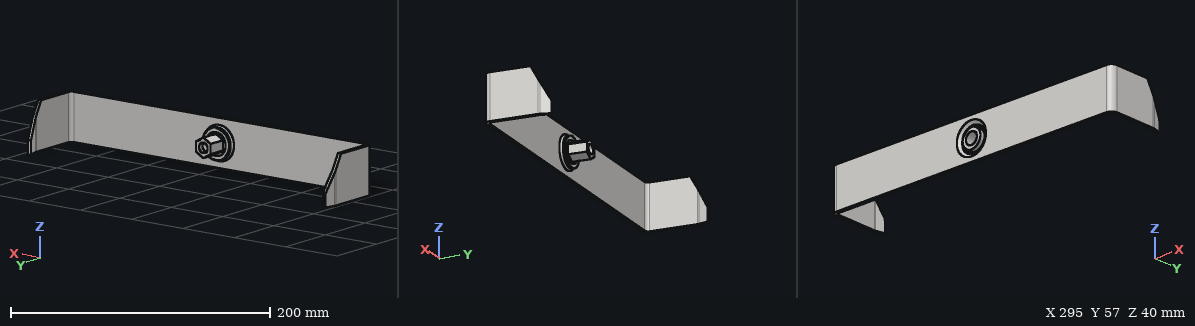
import cadquery as cq
import math

length = 295.0
height = 40.0
depth = 57.0
thickness = 3.0
bend_radius = 6.0
tip_angle = math.radians(15)
tip_bend_start = 46.5
tip_bend_radius = 7.5
corner_cut_start = 40.5
tip_height = 11.0

dimple_mouth_radius = 15.3
dimple_ledge_radius = 12.0
dimple_hole_radius = 11.5
dimple_depth = 2.7
collar_base_radius = 14.5
collar_rim_radius = 13.0
collar_back = 5.3

washer_back = 7.0
washer_front_radius = 11.8
washer_back_radius = 13.0
boss_radius = 9.5
hex_flat_width = 14.2
standoff_end = 23.0
bore_radius = 5.75
bore_depth = 17.7
outlet_radius = 4.0
drill_tip_half_angle = math.radians(59)


def revolve_about_y(points):
    """Revolve a closed (radius, y) outline about the Y axis."""
    return cq.Workplane("XY").polyline(points).close().revolve(360, (0, 0), (0, 1))


def make_bent_end():
    """Right half of the strip: half the web, the leg and its inward-leaning tip."""
    half = length / 2
    inner_radius = bend_radius - thickness
    bend_x = half - bend_radius
    diagonal = math.sqrt(0.5)
    tip_center_x = half - tip_bend_radius
    tip_inner_radius = tip_bend_radius - thickness
    sine = math.sin(tip_angle)
    cosine = math.cos(tip_angle)
    straight = (depth - tip_bend_start - tip_bend_radius * sine) / cosine

    def tip_point(radius, angle, along=0.0):
        x = tip_center_x + radius * math.cos(angle) - along * sine
        y = tip_bend_start + radius * math.sin(angle) + along * cosine
        return (x, y)

    half_angle = tip_angle / 2
    return (
        cq.Workplane("XY")
        .workplane(offset=-height / 2)
        .moveTo(0, 0)
        .lineTo(bend_x, 0)
        .threePointArc((bend_x + bend_radius * diagonal, bend_radius * (1 - diagonal)), (half, bend_radius))
        .lineTo(half, tip_bend_start)
        .threePointArc(tip_point(tip_bend_radius, half_angle), tip_point(tip_bend_radius, tip_angle))
        .lineTo(*tip_point(tip_bend_radius, tip_angle, straight))
        .lineTo(*tip_point(tip_inner_radius, tip_angle, straight))
        .lineTo(*tip_point(tip_inner_radius, tip_angle))
        .threePointArc(tip_point(tip_inner_radius, half_angle), tip_point(tip_inner_radius, 0))
        .lineTo(half - thickness, bend_radius)
        .threePointArc(
            (bend_x + inner_radius * diagonal, bend_radius - inner_radius * diagonal),
            (bend_x, thickness),
        )
        .lineTo(0, thickness)
        .close()
        .extrude(height)
    )


def make_corner_cut():
    """Wedge that slopes the upper free corner of both legs."""
    top = height / 2
    return (
        cq.Workplane("YZ")
        .polyline([(corner_cut_start, top), (depth, top), (depth, tip_height - top)])
        .close()
        .extrude(length / 2, both=True)
    )


def make_strip():
    right_half = make_bent_end()
    strip = right_half.union(right_half.mirror("YZ")).cut(make_corner_cut())
    collar = revolve_about_y([
        (0, 0),
        (collar_base_radius, 0),
        (collar_base_radius, thickness),
        (collar_rim_radius, collar_back),
        (0, collar_back),
    ])
    opening = revolve_about_y([
        (0, 0),
        (dimple_mouth_radius, 0),
        (dimple_ledge_radius, dimple_depth),
        (dimple_hole_radius, dimple_depth),
        (dimple_hole_radius, collar_back),
        (0, collar_back),
    ])
    return strip.union(collar).cut(opening)


def make_washer():
    """Flared ring against the back of the collar, around the standoff boss."""
    return revolve_about_y([
        (boss_radius, collar_back),
        (washer_front_radius, collar_back),
        (washer_back_radius, washer_back),
        (boss_radius, washer_back),
    ])


def make_standoff():
    """Round boss and hex barrel with a stepped through bore."""
    boss = revolve_about_y([(0, 0), (boss_radius, 0), (boss_radius, washer_back), (0, washer_back)])
    corner_diameter = hex_flat_width / math.cos(math.pi / 6)
    barrel = (
        cq.Workplane("XZ", origin=(0, standoff_end, 0))
        .transformed(rotate=(0, 0, 30))
        .polygon(6, corner_diameter)
        .extrude(standoff_end - washer_back)
    )
    cone_length = (bore_radius - outlet_radius) / math.tan(drill_tip_half_angle)
    bore = revolve_about_y([
        (0, 0),
        (bore_radius, 0),
        (bore_radius, bore_depth),
        (outlet_radius, bore_depth + cone_length),
        (outlet_radius, standoff_end),
        (0, standoff_end),
    ])
    return boss.union(barrel).cut(bore)


strip = make_strip()
washer = make_washer()
standoff = make_standoff()

result = cq.Compound.makeCompound([strip.val(), washer.val(), standoff.val()])